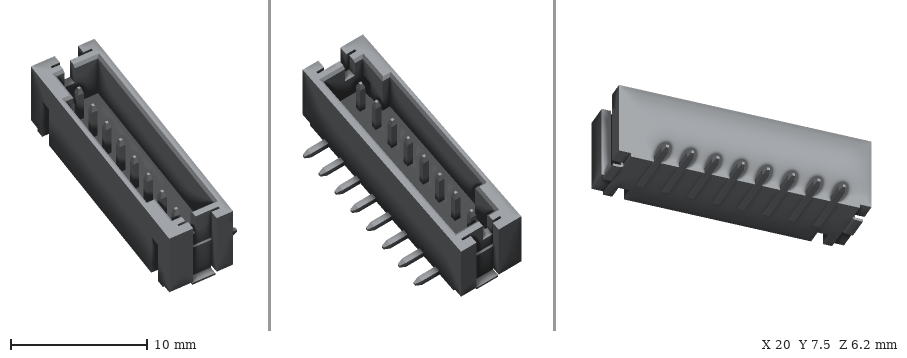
import cadquery as cq

LENGTH = 20.0
DEPTH = 5.45
HOUSING_BOTTOM = 0.1
HOUSING_TOP = 6.2
HALF_LENGTH = LENGTH / 2

FLOOR_Z = 2.2
CAVITY_HALF_LENGTH = 8.35
CAVITY_FRONT = 0.52
CAVITY_BACK = 4.75
STEP_HALF_LENGTH = 5.85
STEP_FRONT = 1.2
LEAD_IN = 0.22

KEY_SLOT_WIDTH = 0.95
KEY_SLOT_DEPTH = 1.25
KEY_SLOT_TOP = 4.0

CLEARANCE_TOP = 0.4

RECESS_FRONT = 2.05
RECESS_BACK = 4.05
NOTCH_WIDTH = 0.88
NOTCH_BOTTOM = 4.4

TAB_THICKNESS = 0.2
TAB_INSET = 0.75
TAB_CENTRE_Y = 3.0
TAB_HEAD_WIDTH = 3.5
TAB_NECK_WIDTH = 1.95
TAB_HEAD_BOTTOM = 1.2
TAB_TOP = 3.2
FOOT_INSET = 0.1
BEND_RADIUS = 0.05

TAB_OUTER_X = HALF_LENGTH - TAB_INSET
TAB_INNER_X = TAB_OUTER_X - TAB_THICKNESS

PIN_COUNT = 8
PIN_PITCH = 2.0
PIN_SIZE = 0.5
PIN_FRONT = 2.1
PIN_Y = PIN_FRONT + PIN_SIZE / 2
PIN_TIP_SIZE = 0.22
PIN_TAPER = 0.5
POST_TOP = 5.4
TAIL_END = 7.5


def box(x_range, y_range, z_range):
    """Axis-aligned block given the two limits along each axis."""
    limits = (x_range, y_range, z_range)
    size = [high - low for low, high in limits]
    corner = [low for low, high in limits]
    return cq.Workplane("XY").box(*size, centered=False).translate(corner)


def mirrored(shape):
    """The shape together with its mirror image at the opposite end."""
    return shape.union(shape.mirror("YZ"))


def cavity_outline(z, grow):
    """Stepped cavity outline at height z, enlarged on every side by grow."""
    end_x = CAVITY_HALF_LENGTH + grow
    step_x = STEP_HALF_LENGTH + grow
    front_y = CAVITY_FRONT - grow
    step_y = STEP_FRONT - grow
    back_y = CAVITY_BACK + grow
    points = [
        (-step_x, front_y),
        (step_x, front_y),
        (step_x, step_y),
        (end_x, step_y),
        (end_x, back_y),
        (-end_x, back_y),
        (-end_x, step_y),
        (-step_x, step_y),
    ]
    return cq.Wire.makePolygon([cq.Vector(x, y, z) for x, y in points], close=True)


def make_cavity():
    """Straight-walled cavity below a flared lead-in."""
    lead_in_z = HOUSING_TOP - LEAD_IN
    straight = cq.Solid.extrudeLinear(
        cavity_outline(FLOOR_Z, 0), [], cq.Vector(0, 0, HOUSING_TOP - FLOOR_Z)
    )
    flare = cq.Solid.makeLoft(
        [cavity_outline(lead_in_z, 0), cavity_outline(HOUSING_TOP, LEAD_IN)], True
    )
    return cq.Workplane(straight).union(cq.Workplane(flare))


def make_key_slots():
    """Vertical slots that open the front wall into the cavity."""
    return mirrored(box(
        (CAVITY_HALF_LENGTH - KEY_SLOT_WIDTH, CAVITY_HALF_LENGTH),
        (0, KEY_SLOT_DEPTH),
        (HOUSING_BOTTOM, KEY_SLOT_TOP),
    ))


def tab_y(width):
    """Y limits of a tab section of the given width."""
    return TAB_CENTRE_Y - width / 2, TAB_CENTRE_Y + width / 2


def make_end_cuts():
    """Recess, tab slot, side notch and foot clearance at both ends."""
    tab_x = (TAB_INNER_X, TAB_OUTER_X)
    recess = box(
        (TAB_INNER_X, HALF_LENGTH), (RECESS_FRONT, RECESS_BACK), (HOUSING_BOTTOM, HOUSING_TOP)
    )
    head_slot = box(tab_x, tab_y(TAB_HEAD_WIDTH), (TAB_HEAD_BOTTOM, HOUSING_TOP))
    neck_slot = box(tab_x, tab_y(TAB_NECK_WIDTH), (HOUSING_BOTTOM, TAB_HEAD_BOTTOM))
    notch = box(
        (CAVITY_HALF_LENGTH, TAB_OUTER_X),
        (PIN_Y - NOTCH_WIDTH / 2, PIN_Y + NOTCH_WIDTH / 2),
        (NOTCH_BOTTOM, HOUSING_TOP),
    )
    clearance = box((TAB_INNER_X, HALF_LENGTH), (0, DEPTH), (HOUSING_BOTTOM, CLEARANCE_TOP))
    cuts = recess.union(head_slot).union(neck_slot).union(notch).union(clearance)
    return mirrored(cuts)


def tapered_bar(length):
    """Square bar along +Z from the origin, ending in a tapered tip."""
    shank = length - PIN_TAPER
    bar = cq.Workplane("XY").rect(PIN_SIZE, PIN_SIZE).extrude(shank)
    tip = (
        cq.Workplane("XY", origin=(0, 0, shank))
        .rect(PIN_SIZE, PIN_SIZE)
        .workplane(offset=PIN_TAPER)
        .rect(PIN_TIP_SIZE, PIN_TIP_SIZE)
        .loft(ruled=True)
    )
    return bar.union(tip)


def make_contact(x):
    """L-shaped contact standing on Z = 0 with its tail pointing to +Y."""
    post = tapered_bar(POST_TOP).translate((x, PIN_Y, 0))
    tail = tapered_bar(TAIL_END - PIN_FRONT).rotate((0, 0, 0), (1, 0, 0), -90)
    return post.union(tail.translate((x, PIN_FRONT, PIN_SIZE / 2)))


def make_housing():
    """Housing with its row of contacts moulded in as one solid."""
    body = box((-HALF_LENGTH, HALF_LENGTH), (0, DEPTH), (HOUSING_BOTTOM, HOUSING_TOP))
    body = body.cut(make_cavity()).cut(make_key_slots()).cut(make_end_cuts())
    first_x = -PIN_PITCH * (PIN_COUNT - 1) / 2
    for index in range(PIN_COUNT):
        body = body.union(make_contact(first_x + index * PIN_PITCH))
    return body.solids().val()


def make_solder_tab(side):
    """Bent solder tab at the +X end (side = 1) or the -X end (side = -1)."""
    foot_end = HALF_LENGTH - FOOT_INSET
    outer_radius = BEND_RADIUS + TAB_THICKNESS
    neck_front, neck_back = tab_y(TAB_NECK_WIDTH)
    bent_strip = (
        cq.Workplane("XZ", origin=(0, neck_back, 0))
        .moveTo(TAB_INNER_X, TAB_HEAD_BOTTOM)
        .lineTo(TAB_INNER_X, outer_radius)
        .radiusArc((TAB_INNER_X + outer_radius, 0), -outer_radius)
        .lineTo(foot_end, 0)
        .lineTo(foot_end, TAB_THICKNESS)
        .lineTo(TAB_OUTER_X + BEND_RADIUS, TAB_THICKNESS)
        .radiusArc((TAB_OUTER_X, outer_radius), BEND_RADIUS)
        .lineTo(TAB_OUTER_X, TAB_HEAD_BOTTOM)
        .close()
        .extrude(neck_back - neck_front)
    )
    head = box((TAB_INNER_X, TAB_OUTER_X), tab_y(TAB_HEAD_WIDTH), (TAB_HEAD_BOTTOM, TAB_TOP))
    tab = bent_strip.union(head)
    if side < 0:
        tab = tab.mirror("YZ")
    return tab.solids().val()


housing = make_housing()
solder_tabs = [make_solder_tab(side) for side in (-1, 1)]

result = cq.Compound.makeCompound([housing, *solder_tabs])